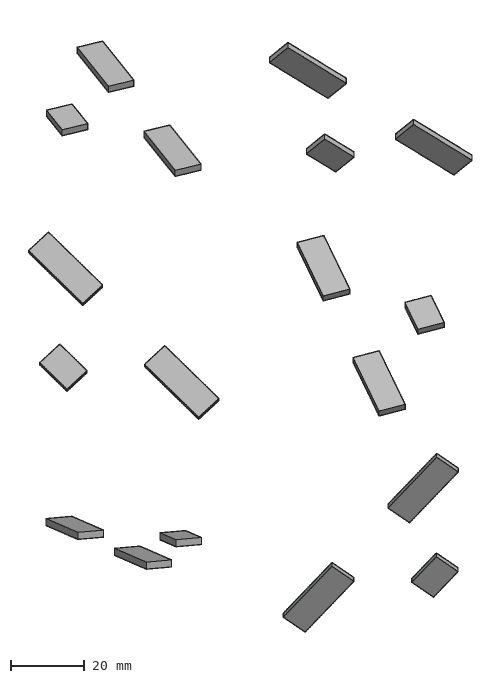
import cadquery as cq

TOTAL_LENGTH = 66.0
TOTAL_DEPTH = 27.6
THICKNESS = 2.0

LONG_PLATE_LENGTH = 21.0
SHORT_PLATE_LENGTH = 10.55
LEFT_PLATE_WIDTH = 7.5
RIGHT_PLATE_WIDTH = 7.65
SHORT_PLATE_WIDTH = 7.6

SHORT_PLATE_X = 24.9


def plate(x, y, length, width):
    """Flat rectangular plate with its front-left lower corner at (x, y, 0)."""
    return cq.Workplane("XY").box(length, width, THICKNESS, centered=False).translate((x, y, 0))


left_plate = plate(0, TOTAL_DEPTH - LEFT_PLATE_WIDTH, LONG_PLATE_LENGTH, LEFT_PLATE_WIDTH)
right_plate = plate(
    TOTAL_LENGTH - LONG_PLATE_LENGTH,
    TOTAL_DEPTH - RIGHT_PLATE_WIDTH,
    LONG_PLATE_LENGTH,
    RIGHT_PLATE_WIDTH,
)

short_plate = plate(SHORT_PLATE_X, 0, SHORT_PLATE_LENGTH, SHORT_PLATE_WIDTH)

result = cq.Compound.makeCompound([left_plate.val(), right_plate.val(), short_plate.val()])